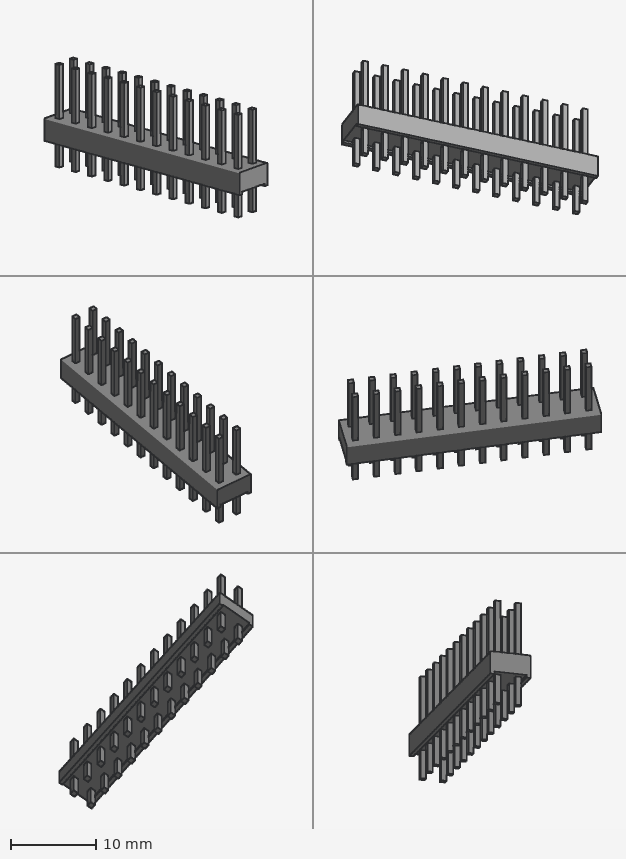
import cadquery as cq


columns = 12
rows = 2
body_length = 30.48
pitch = body_length / columns
grid_offset_x = -0.045

body_width = 5.0
body_height = 2.8
edge_radius = 0.198
foot_width = 0.52
foot_height = 0.3

pin_side = 0.65
pin_length = 12.7
pin_below_body = 3.2


def make_body():
    """Block with rounded long top edges and a channel that leaves two feet underneath."""
    block = cq.Workplane("XY").box(body_length, body_width, body_height, centered=(True, True, False))
    block = block.edges("|X and >Z").fillet(edge_radius)
    channel_width = body_width - 2 * foot_width
    channel = cq.Workplane("XY").box(body_length, channel_width, foot_height, centered=(True, True, False))
    return block.cut(channel)


def make_pins():
    """Square pins on a regular grid, running from below the feet to above the body."""
    return (
        cq.Workplane("XY")
        .workplane(offset=-pin_below_body)
        .center(grid_offset_x, 0)
        .rarray(pitch, pitch, columns, rows)
        .rect(pin_side, pin_side)
        .extrude(pin_length)
    )


result = make_body().union(make_pins())